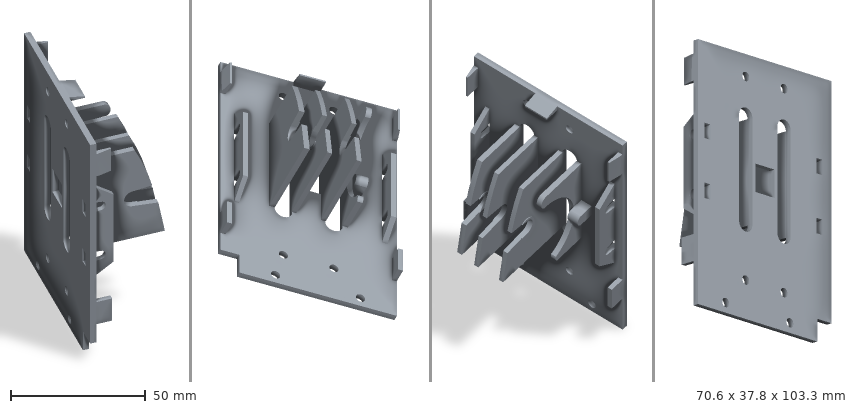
import cadquery as cq
import math

WIDTH = 70.6
HEIGHT = 103.3
PLATE = 2.5
NOTCH_WIDTH = 7.6
NOTCH_HEIGHT = 8.9

HOLE_DIA = 3.6
HOLE_CENTRES = [(25.2, 94.5), (45.4, 94.5), (25.2, 15.2), (45.4, 15.0), (14.6, 3.9), (48.5, 3.9)]
SLOT_X = [25.2, 45.4]
SLOT_WIDTH = 7.0
SLOT_LENGTH = 48.3
SLOT_MID_Z = 58.2
WINDOW_X = (30.3, 40.4)
WINDOW_Z = (50.7, 61.8)
LATCH_MID_Z = [68.5, 45.1]
LATCH_HEIGHT = 6.0
LATCH_MARGIN = 0.5

TAB_REACH = 8.8
TAB_THICK = 2.0
TAB_TIP = 0.7
TOP_TAB_ROOT = 0.4
SIDE_TAB_ROOTS = (1.2, 0.6)
SIDE_TAB_LENGTH = 10.5
SIDE_TAB_INSET = 0.1
UPPER_TAB_Z = 87.7
LOWER_TAB_Z = 17.3
TOP_TAB_X = 31.0
TOP_TAB_WIDTH = 10.4

RIB_X = [(3.8, 6.0), (63.2, 65.2)]
RIB_REACH = 11.4
RIB_BASE_Z = (34.9, 79.1)
RIB_CREST_Z = (40.7, 72.5)
RECESS_REACH = 8.2
RECESS_SHOULDER = 7.0
RECESS_TIP_HEIGHT = 3.7
RECESS_ROOT_HEIGHT = 4.9

FIN_REACH = 37.8
FIN_BOTTOM = 37.7
FIN_TOP = 79.2
FIN_TOP_REACH = 25.8
BEARING_Y = 24.2
BEARING_Z = 56.4
BEARING_RADIUS = 3.5
MOUTH_UPPER = (32.7, 60.7)
MOUTH_LOWER = (35.2, 51.7)
EDGE_BULGE = 0.6
COLLAR_RADIUS = 4.5
COLLAR_THICK = 0.3
MID_FINS_X = [(28.5, 30.5), (40.3, 42.2)]
OUTER_FIN_X = (48.8, 51.1)
OUTER_FIN_SETBACK = 1.0

HOOK_X = (19.6, 21.9)
HOOK_RADIUS = 17.3
HOOK_UPPER_Y = 24.7
HOOK_LOWER_Y = 17.6
UPPER_NOSE = [(26.1, 76.1), (23.6, FIN_TOP)]
LOWER_NOSE = [(17.8, 39.2), (16.9, FIN_BOTTOM)]

LUG_X = 14.8
LUG_REACH = 10.7
LUG_SHOULDER = 9.0
LUG_HEIGHT = 5.0


def block(xs, ys, zs):
    """Axis-aligned box spanning three (low, high) ranges."""
    size = [high - low for low, high in (xs, ys, zs)]
    return cq.Workplane("XY").box(*size, centered=False).translate((xs[0], ys[0], zs[0]))


def extrude_x(profile, xs):
    """Extrude a closed YZ profile between two X positions."""
    return profile.extrude(xs[1] - xs[0]).translate((xs[0], 0, 0))


def yz_polygon(points):
    return cq.Workplane("YZ").polyline(points).close()


def latch_window(xs, mid_z):
    """Plate opening that narrows to the width of the rib behind it."""
    rib_width = xs[1] - xs[0]
    funnel = (
        cq.Workplane("XZ")
        .rect(rib_width + 2 * LATCH_MARGIN, LATCH_HEIGHT)
        .workplane(offset=-PLATE)
        .rect(rib_width, RECESS_ROOT_HEIGHT)
        .loft(ruled=True)
    )
    return funnel.translate(((xs[0] + xs[1]) / 2, 0, mid_z))


def plate():
    body = block((0, WIDTH), (0, PLATE), (0, HEIGHT))
    body = body.cut(block((WIDTH - NOTCH_WIDTH, WIDTH), (0, PLATE), (0, NOTCH_HEIGHT)))
    front = cq.Workplane("XZ")
    body = body.cut(front.pushPoints(HOLE_CENTRES).circle(HOLE_DIA / 2).extrude(-PLATE))
    slot_centres = [(x, SLOT_MID_Z) for x in SLOT_X]
    body = body.cut(front.pushPoints(slot_centres).slot2D(SLOT_LENGTH, SLOT_WIDTH, 90).extrude(-PLATE))
    body = body.cut(block(WINDOW_X, (0, PLATE), WINDOW_Z))
    for xs in RIB_X:
        for mid in LATCH_MID_Z:
            body = body.cut(latch_window(xs, mid))
    return body


def tapered_tab_outline(root):
    """Section of a tapered tab: (depth below the plate edge, Y) points.

    The taper starts at the given root distance behind the plate.
    """
    return [
        (0, 0),
        (0, PLATE + root),
        (TAB_THICK - TAB_TIP, TAB_REACH),
        (TAB_THICK, TAB_REACH),
        (TAB_THICK, 0),
    ]


def left_tabs():
    low_root, high_root = SIDE_TAB_ROOTS
    upper = (
        cq.Workplane("XY", origin=(0, 0, UPPER_TAB_Z))
        .polyline(tapered_tab_outline(low_root))
        .close()
        .workplane(offset=SIDE_TAB_LENGTH)
        .polyline(tapered_tab_outline(high_root))
        .close()
        .loft(ruled=True)
    )
    lower = block((0, TAB_THICK), (0, TAB_REACH), (LOWER_TAB_Z, LOWER_TAB_Z + SIDE_TAB_LENGTH))
    return upper.union(lower).translate((SIDE_TAB_INSET, 0, 0))


def top_tab():
    points = [(y, HEIGHT - depth) for depth, y in tapered_tab_outline(TOP_TAB_ROOT)]
    return extrude_x(yz_polygon(points), (TOP_TAB_X, TOP_TAB_X + TOP_TAB_WIDTH))


def rib(xs):
    base_low, base_high = RIB_BASE_Z
    crest_low, crest_high = RIB_CREST_Z
    outline = [
        (0, base_low),
        (PLATE, base_low),
        (RIB_REACH, crest_low),
        (RIB_REACH, crest_high),
        (PLATE, base_high),
        (0, base_high),
    ]
    body = extrude_x(yz_polygon(outline), xs)
    for mid in LATCH_MID_Z:
        tip = RECESS_TIP_HEIGHT / 2
        root = RECESS_ROOT_HEIGHT / 2
        recess = (
            cq.Workplane("YZ")
            .moveTo(PLATE, mid - root)
            .lineTo(RECESS_SHOULDER, mid - tip)
            .threePointArc((RECESS_REACH, mid), (RECESS_SHOULDER, mid + tip))
            .lineTo(PLATE, mid + root)
            .close()
        )
        body = body.cut(extrude_x(recess, xs))
    return body


def bearing_slot(xs):
    """Round-ended slot that widens towards its open mouth."""
    profile = (
        cq.Workplane("YZ")
        .moveTo(BEARING_Y, BEARING_Z + BEARING_RADIUS)
        .threePointArc(
            (BEARING_Y - BEARING_RADIUS, BEARING_Z),
            (BEARING_Y, BEARING_Z - BEARING_RADIUS),
        )
        .lineTo(*MOUTH_LOWER)
        .lineTo(FIN_REACH, MOUTH_LOWER[1])
        .lineTo(FIN_REACH, MOUTH_UPPER[1])
        .lineTo(*MOUTH_UPPER)
        .close()
    )
    return extrude_x(profile, xs)


def slotted_fin(xs, collar_xs, setback=0.0):
    mouth_y, mouth_z = MOUTH_UPPER
    bulge_point = ((FIN_TOP_REACH + mouth_y) / 2 + EDGE_BULGE - setback, (FIN_TOP + mouth_z) / 2)
    profile = (
        cq.Workplane("YZ")
        .moveTo(0, FIN_BOTTOM)
        .lineTo(FIN_REACH - setback, FIN_BOTTOM)
        .lineTo(MOUTH_LOWER[0] - setback, MOUTH_LOWER[1])
        .lineTo(mouth_y - setback, mouth_z)
        .threePointArc(bulge_point, (FIN_TOP_REACH - setback, FIN_TOP))
        .lineTo(0, FIN_TOP)
        .close()
    )
    collar = cq.Workplane("YZ").center(BEARING_Y, BEARING_Z).circle(COLLAR_RADIUS)
    slot_xs = (min(xs[0], collar_xs[0]), max(xs[1], collar_xs[1]))
    body = extrude_x(profile, xs).union(extrude_x(collar, collar_xs))
    return body.cut(bearing_slot(slot_xs))


def hooked_fin():
    rise = math.sqrt(HOOK_RADIUS**2 - (HOOK_UPPER_Y - BEARING_Y) ** 2)
    drop = math.sqrt(HOOK_RADIUS**2 - (HOOK_LOWER_Y - BEARING_Y) ** 2)
    profile = (
        cq.Workplane("YZ")
        .moveTo(0, FIN_BOTTOM)
        .lineTo(*LOWER_NOSE[1])
        .threePointArc(LOWER_NOSE[0], (HOOK_LOWER_Y, BEARING_Z - drop))
        .threePointArc((BEARING_Y - HOOK_RADIUS, BEARING_Z), (HOOK_UPPER_Y, BEARING_Z + rise))
        .threePointArc(*UPPER_NOSE)
        .lineTo(0, FIN_TOP)
        .close()
    )
    return extrude_x(profile, HOOK_X)


def lug():
    low = BEARING_Z - LUG_HEIGHT / 2
    high = BEARING_Z + LUG_HEIGHT / 2
    profile = (
        cq.Workplane("YZ")
        .moveTo(0, low)
        .lineTo(LUG_SHOULDER, low)
        .threePointArc((LUG_REACH, BEARING_Z), (LUG_SHOULDER, high))
        .lineTo(0, high)
        .close()
    )
    return extrude_x(profile, (LUG_X, HOOK_X[0]))


def fins():
    left_xs, right_xs = MID_FINS_X
    left = slotted_fin(left_xs, (left_xs[0] - COLLAR_THICK, left_xs[0]))
    right = slotted_fin(right_xs, (right_xs[1], right_xs[1] + COLLAR_THICK))
    outer_collar = (OUTER_FIN_X[0] - COLLAR_THICK, OUTER_FIN_X[0])
    outer = slotted_fin(OUTER_FIN_X, outer_collar, OUTER_FIN_SETBACK)
    return left.union(right).union(outer)


def behind_plate(body):
    """Keep only what lies behind the plate, so its openings stay clear."""
    keep = block((0, WIDTH), (PLATE, FIN_REACH), (0, HEIGHT))
    return body.intersect(keep)


left_side = left_tabs()
right_side = left_side.mirror("YZ").translate((WIDTH, 0, 0))
features = [left_side, right_side, top_tab(), fins(), hooked_fin(), lug()]
features += [rib(xs) for xs in RIB_X]

result = plate()
for feature in features:
    result = result.union(behind_plate(feature))